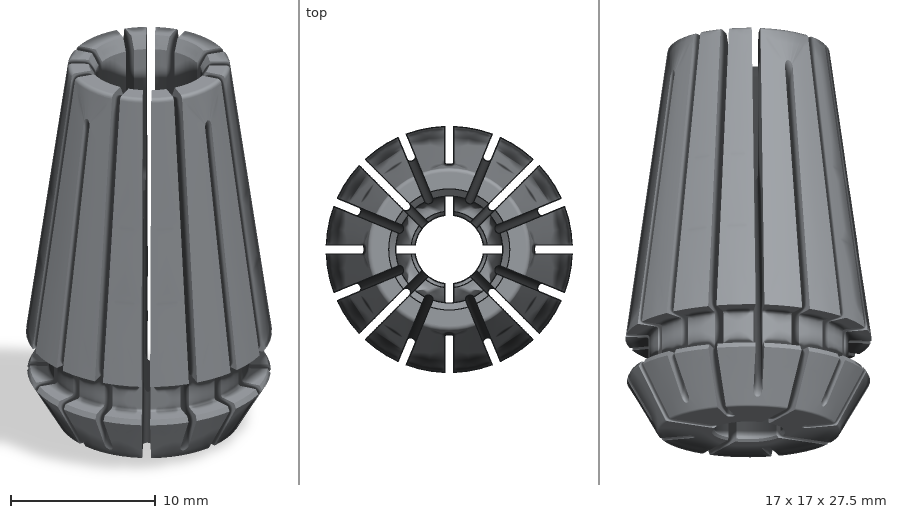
import cadquery as cq
import math

length = 27.5
body_radius = 8.5
body_half_angle = math.radians(8)
top_fillet = 0.3

nose_radius = 6.3
nose_half_angle = math.radians(30)
nose_fillet = 0.2
rim_height = 3.65
rim_chamfer = 0.2

groove_radius = 6.9
groove_bottom = 4.02
groove_top = 6.68
groove_fillet = 0.16

bore_radius = 2.36
bore_chamfer_angle = math.radians(30)
bore_chamfer = 0.28
entry_chamfer = 0.16
relief_radius = 3.68
relief_fillet = 0.75
shoulder_height = 16.85
mouth_radius = 4.18
mouth_depth = 0.85

slot_width = 0.6
lower_slot_count = 4
lower_slot_end = (5.88, 25.2)
lower_slot_slope = 60
main_slot_count = 4
main_slot_end = (3.9, 0.0)
main_slot_slope = 64
relief_slot_count = 8
relief_slot_end = (6.63, 0.63)
relief_slot_slope = 79

top_radius = body_radius - (length - groove_top) * math.tan(body_half_angle)
rim_radius = nose_radius + rim_height * math.tan(nose_half_angle)
bore_chamfer_height = bore_chamfer / math.tan(bore_chamfer_angle)

cutter_reach = 2 * length


def revolve_about_z(profile):
    return profile.close().revolve(360, (0, 0, 0), (0, 1, 0))


def groove_corners():
    """Selector for the two inner corner circles of the groove."""
    margin = 0.15
    across = groove_radius + margin
    return cq.selectors.BoxSelector(
        (-across, -across, groove_bottom - margin),
        (across, across, groove_top + margin),
        boundingbox=True,
    )


def turned_body():
    outline = cq.Workplane("XZ").polyline([
        (0, 0),
        (nose_radius, 0),
        (rim_radius, rim_height),
        (rim_radius - rim_chamfer, groove_bottom),
        (groove_radius, groove_bottom),
        (groove_radius, groove_top),
        (body_radius, groove_top),
        (top_radius, length),
        (0, length),
    ])
    body = revolve_about_z(outline)
    body = body.edges("<Z").fillet(nose_fillet)
    body = body.edges(">Z").fillet(top_fillet)
    return body.edges(groove_corners()).fillet(groove_fillet)


def stepped_bore():
    outline = (
        cq.Workplane("XZ")
        .moveTo(0, 0)
        .lineTo(bore_radius + entry_chamfer, 0)
        .lineTo(bore_radius, entry_chamfer)
        .lineTo(bore_radius, shoulder_height - bore_chamfer_height)
        .lineTo(bore_radius + bore_chamfer, shoulder_height)
        .lineTo(relief_radius - relief_fillet, shoulder_height)
        .radiusArc((relief_radius, shoulder_height + relief_fillet), -relief_fillet)
        .lineTo(relief_radius, length - mouth_depth)
        .lineTo(mouth_radius, length)
        .lineTo(0, length)
    )
    return revolve_about_z(outline)


def upward_slot(end_radius, end_height, slope):
    """Cutter for a slot along +X, open upward and outward; its floor rises toward the axis."""
    half_width = slot_width / 2
    blade = cq.Workplane("XY").box(
        2 * cutter_reach, slot_width, cutter_reach, centered=(True, True, False)
    )
    round_floor = cq.Workplane("YZ").circle(half_width).extrude(cutter_reach, both=True)
    cutter = (
        blade.union(round_floor)
        .translate((0, 0, half_width))
        .rotate((0, 0, 0), (0, 1, 0), slope)
        .translate((end_radius, 0, end_height))
    )
    outer_side = cq.Workplane("XY").box(
        cutter_reach, cutter_reach, cutter_reach, centered=(False, True, True)
    )
    return cutter.intersect(outer_side)


def cut_slots(part, cutter, count, first_angle):
    for i in range(count):
        angle = first_angle + i * 360 / count
        part = part.cut(cutter.rotate((0, 0, 0), (0, 0, 1), angle))
    return part


main_slot = upward_slot(*main_slot_end, main_slot_slope)
relief_slot = upward_slot(*relief_slot_end, relief_slot_slope)
lower_slot = (
    upward_slot(lower_slot_end[0], 0, lower_slot_slope)
    .mirror("XY")
    .translate((0, 0, lower_slot_end[1]))
)

result = turned_body().cut(stepped_bore())
result = cut_slots(result, lower_slot, lower_slot_count, 0)
result = cut_slots(result, main_slot, main_slot_count, 180 / main_slot_count)
result = cut_slots(result, relief_slot, relief_slot_count, 180 / relief_slot_count)